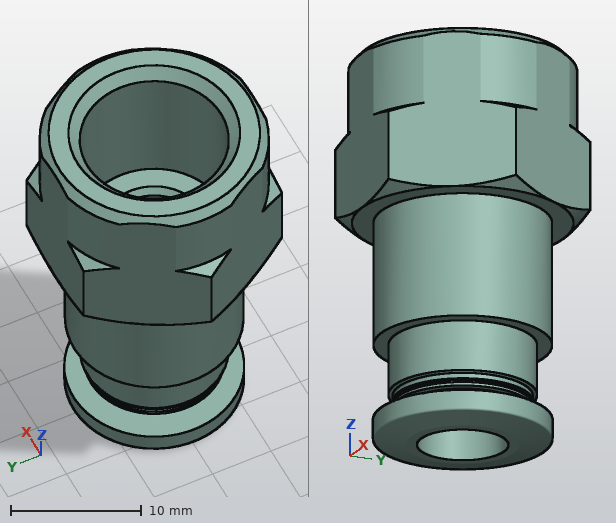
import cadquery as cq
import math

total_height = 31.0
hex_across_flats = 17.0
hex_corner_radius = hex_across_flats / math.sqrt(3)
hex_bevel_slope = math.tan(math.radians(30))

hex_bottom = 18.0
collar_bottom = 24.85
collar_radius = 17.55 / 2
collar_chamfer = 0.68

body_radius = 13.7 / 2
body_bottom = 8.1
sleeve_radius = 11.4 / 2
sleeve_bottom = 3.95
sleeve_chamfer = 0.12

ring_radius = 10.8 / 2
ring_bottom = 2.9
groove_top = 3.5
groove_bottom = 3.2
groove_depth = 0.12
groove_chamfer = 0.1
neck_radius = 9.4 / 2
neck_fillet = 0.3

flange_radius = 13.8 / 2
flange_top = 2.0
flange_edge_round = 0.15
flange_rim_bottom = 0.4
flange_face_radius = 8.75 / 2

socket_radius = 11.4 / 2
socket_floor = 19.22
socket_chamfer = 0.87
hole_radius = 7.0 / 2
hole_chamfer = 0.5


def revolve_profile(points):
    """Turn a closed (radius, height) outline about the Z axis."""
    outline = cq.Workplane("XZ").polyline(points).close()
    return outline.revolve(360, (0, 0, 0), (0, 1, 0))


def make_hex_nut():
    """Hexagon cut by a turned envelope with a collar and 30 degree bevels."""
    prism = (
        cq.Workplane("XY", origin=(0, 0, hex_bottom))
        .polygon(6, 2 * hex_corner_radius)
        .extrude(total_height - hex_bottom)
    )
    envelope_radius = hex_corner_radius + 0.3
    flat_radius = hex_across_flats / 2
    upper_bevel_drop = (envelope_radius - collar_radius) * hex_bevel_slope
    lower_bevel_rise = (envelope_radius - flat_radius) * hex_bevel_slope
    envelope = revolve_profile([
        (0, hex_bottom),
        (flat_radius, hex_bottom),
        (envelope_radius, hex_bottom + lower_bevel_rise),
        (envelope_radius, collar_bottom - upper_bevel_drop),
        (collar_radius, collar_bottom),
        (collar_radius, total_height - collar_chamfer),
        (collar_radius - collar_chamfer, total_height),
        (0, total_height),
    ])
    return prism.intersect(envelope)


def make_body():
    """Body, sleeve, grooved ring and a neck filleted into the flange."""
    outline = (
        cq.Workplane("XZ")
        .moveTo(0, hex_bottom)
        .lineTo(body_radius, hex_bottom)
        .lineTo(body_radius, body_bottom)
        .lineTo(sleeve_radius, body_bottom)
        .lineTo(sleeve_radius, sleeve_bottom + sleeve_chamfer)
        .lineTo(ring_radius, sleeve_bottom)
        .lineTo(ring_radius, groove_top)
        .lineTo(ring_radius - groove_depth, groove_top - groove_chamfer)
        .lineTo(ring_radius, groove_bottom)
        .lineTo(ring_radius, ring_bottom)
        .lineTo(neck_radius, ring_bottom)
        .lineTo(neck_radius, flange_top + neck_fillet)
        .radiusArc((neck_radius + neck_fillet, flange_top), -neck_fillet)
        .lineTo(0, flange_top)
        .close()
    )
    return outline.revolve(360, (0, 0, 0), (0, 1, 0))


def make_flange():
    """Release flange with a rounded rim and a shallow conical underside."""
    outline = (
        cq.Workplane("XZ")
        .moveTo(0, flange_top)
        .lineTo(flange_radius, flange_top)
        .lineTo(flange_radius, flange_rim_bottom + flange_edge_round)
        .radiusArc((flange_radius - flange_edge_round, flange_rim_bottom), flange_edge_round)
        .lineTo(flange_face_radius, 0)
        .lineTo(0, 0)
        .close()
    )
    return outline.revolve(360, (0, 0, 0), (0, 1, 0))


def make_bore():
    """Chamfered top socket leading into a chamfered through hole."""
    return revolve_profile([
        (0, total_height),
        (socket_radius + socket_chamfer, total_height),
        (socket_radius, total_height - socket_chamfer),
        (socket_radius, socket_floor),
        (hole_radius + hole_chamfer, socket_floor),
        (hole_radius, socket_floor - hole_chamfer),
        (hole_radius, 0),
        (0, 0),
    ])


result = make_hex_nut().union(make_body()).union(make_flange()).cut(make_bore())